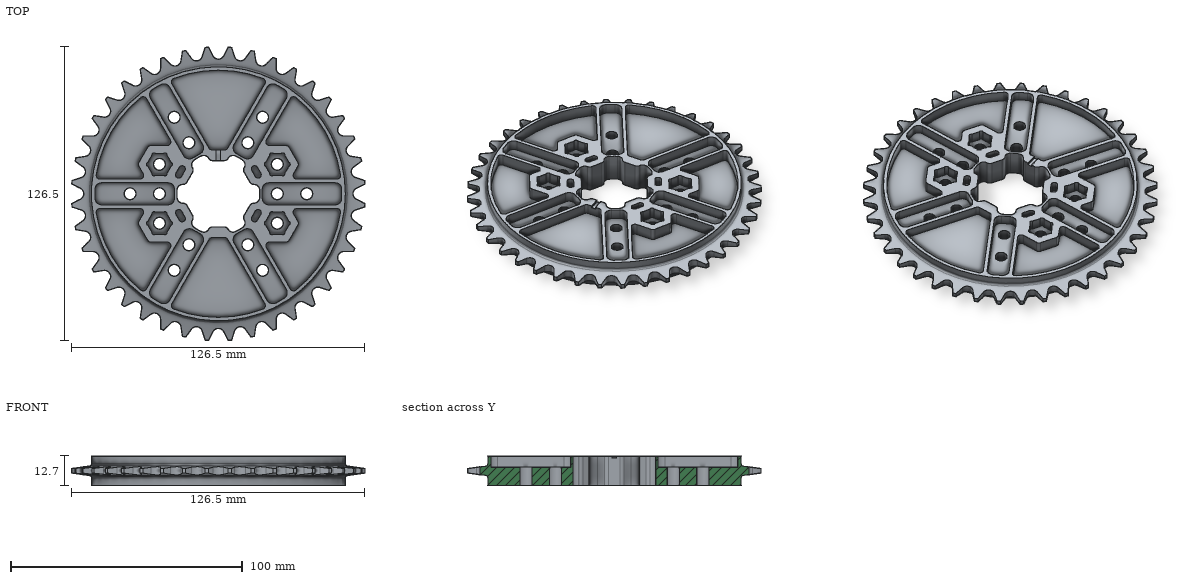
import cadquery as cq
import math

tooth_count = 40
chain_pitch = 9.525
seat_radius = 2.6
tip_radius = 63.41
tip_half_width = 0.75
tip_thickness = 2.0
tooth_taper_angle = math.radians(8)
flank_overrun = 1.2

tooth_angle = 2 * math.pi / tooth_count
pitch_radius = chain_pitch / (2 * math.sin(tooth_angle / 2))

body_thickness = 12.7
body_radius = 54.75
shoulder_fillet = 1.0
half_thickness = body_thickness / 2
rim_inner_radius = 53.3
spoke_count = 6
spoke_angle = 360 / spoke_count

end_pocket_depth = 4.76
side_pocket_depth = 5.5
pocket_corner_radius = 1.6
spoke_slot_depth = 4.76
spoke_slot_width = 9.525
spoke_slot_start = 18.9
spoke_slot_end = 53.2
spoke_slot_corner_radius = 2.9
spoke_half_width = 6.35
hub_flat_distance = 18.9

hole_spacing = 12.7
hole_diameter = 5.0
spoke_hole_radii = (2 * hole_spacing, 3 * hole_spacing)
nut_x = 2 * hole_spacing
nut_y = hole_spacing
nut_flats = 9.525
nut_relief_radius = 0.9
nut_relief_offset = 4.7
nut_depth = 5.08
boss_half_flats = 8.1

bore_apothem = 14.24
lobe_radius = 17.85
lobe_half_width = 4.0
lobe_corner_radius = 2.4
lobe_entry_radius = 2.0

oblong_radius = 18.9
oblong_length = 5.7
oblong_width = 2.8
oblong_depth = 5.08
oblong_angles = (30, 150, 210, 330)
groove_width = 1.9
groove_depth = 0.9

SQRT3 = math.sqrt(3)
match_tolerance = 0.01


def polar(radius, angle):
    """Point at a radius and an angle in radians."""
    return (radius * math.cos(angle), radius * math.sin(angle))


def upper_face_plane(depth):
    """Workplane at the given depth below the upper face."""
    return cq.Workplane("XY").workplane(offset=half_thickness - depth)


def make_blank():
    """Revolve the body together with its tapered tooth flange."""
    slope = math.tan(tooth_taper_angle)
    fillet_x = body_radius + shoulder_fillet
    flange_z = tip_thickness / 2 + (tip_radius - fillet_x) * slope
    fillet_z = flange_z + shoulder_fillet / math.cos(tooth_taper_angle)
    taper_normal = math.pi / 2 - tooth_taper_angle
    flange_end = math.pi + taper_normal
    middle = (math.pi + flange_end) / 2

    def fillet_point(angle, side):
        dx, dz = polar(shoulder_fillet, angle)
        return (fillet_x + dx, side * (fillet_z + dz))

    return (
        cq.Workplane("XZ")
        .moveTo(0, -half_thickness)
        .lineTo(body_radius, -half_thickness)
        .lineTo(body_radius, -fillet_z)
        .threePointArc(fillet_point(middle, -1), fillet_point(flange_end, -1))
        .lineTo(tip_radius, -tip_thickness / 2)
        .lineTo(tip_radius, tip_thickness / 2)
        .lineTo(*fillet_point(flange_end, 1))
        .threePointArc(fillet_point(middle, 1), (body_radius, fillet_z))
        .lineTo(body_radius, half_thickness)
        .lineTo(0, half_thickness)
        .close()
        .revolve(360, (0, 0, 0), (0, 1, 0))
    )


def make_tooth_gaps():
    """Roller seats with straight flanks tangent to them, between all teeth."""
    corner_angle = tooth_angle / 2 - tip_half_width / tip_radius
    corner_y = tip_radius * math.sin(corner_angle)
    corner_x = tip_radius * math.cos(corner_angle) - pitch_radius
    corner_distance = math.hypot(corner_x, corner_y)
    corner_direction = math.atan2(corner_y, corner_x)
    tangent_direction = corner_direction + math.acos(seat_radius / corner_distance)
    dx, dy = polar(seat_radius, tangent_direction)
    end_x = dx + flank_overrun * (corner_x - dx)
    end_y = dy + flank_overrun * (corner_y - dy)
    gap = (
        cq.Workplane("XY")
        .workplane(offset=-half_thickness)
        .moveTo(pitch_radius + end_x, -end_y)
        .lineTo(pitch_radius + dx, -dy)
        .threePointArc((pitch_radius - seat_radius, 0), (pitch_radius + dx, dy))
        .lineTo(pitch_radius + end_x, end_y)
        .close()
        .extrude(body_thickness)
    )
    gaps = cq.Workplane("XY")
    for index in range(tooth_count):
        gaps.add(gap.rotate((0, 0, 0), (0, 0, 1), index * 360 / tooth_count))
    return gaps.combine()


def make_bore():
    """Hexagonal through bore with a rounded lobe at each hexagon corner."""
    base = cq.Workplane("XY").workplane(offset=-half_thickness)
    bore = base.polygon(6, 2 * bore_apothem * 2 / SQRT3).extrude(body_thickness)
    disc = base.circle(lobe_radius).extrude(body_thickness)
    for index in range(spoke_count // 2):
        bar = base.rect(3 * lobe_radius, 2 * lobe_half_width).extrude(body_thickness)
        bar = bar.intersect(disc).edges("|Z").fillet(lobe_corner_radius)
        bore = bore.union(bar.rotate((0, 0, 0), (0, 0, 1), index * spoke_angle))
    entry_x = (bore_apothem - lobe_half_width / 2) * 2 / SQRT3
    entry_distance = math.hypot(entry_x, lobe_half_width)
    entry_edges = bore.edges("|Z").filter(
        lambda edge: math.hypot(edge.Center().x, edge.Center().y) < entry_distance + match_tolerance
    )
    return entry_edges.fillet(lobe_entry_radius)


def spoke_wall_x(y):
    """X at height y on the outer wall, towards +X, of the spoke at 60 degrees."""
    return (y / 2 + spoke_half_width) * 2 / SQRT3


def make_end_pocket():
    """Pocket between the two spokes on either side of the +Y axis."""
    inner_x = (hub_flat_distance / 2 - spoke_half_width) * 2 / SQRT3
    rim_angle = math.radians(spoke_angle) + math.asin(spoke_half_width / rim_inner_radius)
    rim_x, rim_y = polar(rim_inner_radius, rim_angle)
    return (
        upper_face_plane(end_pocket_depth)
        .moveTo(-inner_x, hub_flat_distance)
        .lineTo(inner_x, hub_flat_distance)
        .lineTo(rim_x, rim_y)
        .threePointArc((0, rim_inner_radius), (-rim_x, rim_y))
        .close()
        .extrude(end_pocket_depth)
        .edges("|Z")
        .fillet(pocket_corner_radius)
    )


def make_side_pocket():
    """Pocket between the spokes at 0 and 60 degrees, stepped around the nut boss."""
    wall_angle = math.asin(spoke_half_width / rim_inner_radius)
    low_rim = polar(rim_inner_radius, wall_angle)
    high_rim = polar(rim_inner_radius, math.radians(spoke_angle) - wall_angle)
    middle_rim = polar(rim_inner_radius, math.radians(spoke_angle / 2))
    boss_corner = boss_half_flats * 2 / SQRT3
    boss_top = nut_y + boss_half_flats
    boss_tip_x = nut_x + boss_corner
    notch_x = boss_tip_x - (nut_y - spoke_half_width) / SQRT3
    pocket = (
        upper_face_plane(side_pocket_depth)
        .moveTo(notch_x, spoke_half_width)
        .lineTo(*low_rim)
        .threePointArc(middle_rim, high_rim)
        .lineTo(spoke_wall_x(boss_top), boss_top)
        .lineTo(nut_x + boss_corner / 2, boss_top)
        .lineTo(boss_tip_x, nut_y)
        .close()
        .extrude(side_pocket_depth)
    )
    return pocket.edges("|Z").fillet(pocket_corner_radius)


def cut_pockets(part):
    end_pocket = make_end_pocket()
    part = part.cut(end_pocket).cut(end_pocket.mirror("XZ"))
    side_pocket = make_side_pocket()
    opposite_pocket = side_pocket.mirror("YZ")
    for pocket in (side_pocket, opposite_pocket):
        part = part.cut(pocket).cut(pocket.mirror("XZ"))
    return part


def cut_spokes(part):
    """Recess each spoke and drill its two screw holes."""
    slot_length = spoke_slot_end - spoke_slot_start
    slot = (
        upper_face_plane(spoke_slot_depth)
        .center((spoke_slot_start + spoke_slot_end) / 2, 0)
        .rect(slot_length, spoke_slot_width)
        .extrude(spoke_slot_depth)
        .edges("|Z")
        .fillet(spoke_slot_corner_radius)
    )
    holes = (
        cq.Workplane("XY")
        .workplane(offset=-half_thickness)
        .pushPoints([(radius, 0) for radius in spoke_hole_radii])
        .circle(hole_diameter / 2)
        .extrude(body_thickness)
    )
    spoke_cut = slot.union(holes)
    for index in range(spoke_count):
        part = part.cut(spoke_cut.rotate((0, 0, 0), (0, 0, 1), index * spoke_angle))
    return part


def cut_nut_traps(part):
    """Cut the hexagonal nut recesses, with round corner reliefs, and their through holes."""
    places = [(sx * nut_x, sy * nut_y) for sx in (-1, 1) for sy in (-1, 1)]
    traps = (
        upper_face_plane(nut_depth)
        .pushPoints(places)
        .polygon(6, nut_flats * 2 / SQRT3)
        .extrude(nut_depth)
    )
    for place in places:
        reliefs = (
            upper_face_plane(nut_depth)
            .center(*place)
            .polarArray(nut_relief_offset, 0, 360, 6)
            .circle(nut_relief_radius)
            .extrude(nut_depth)
        )
        traps = traps.union(reliefs)
    holes = (
        cq.Workplane("XY")
        .workplane(offset=-half_thickness)
        .pushPoints(places)
        .circle(hole_diameter / 2)
        .extrude(body_thickness)
    )
    return part.cut(traps).cut(holes)


def cut_oblong_slots(part):
    """Cut the blind slots lying tangentially around the bore."""
    slot = (
        upper_face_plane(oblong_depth)
        .center(oblong_radius, 0)
        .slot2D(oblong_length, oblong_width, 90)
        .extrude(oblong_depth)
    )
    for angle in oblong_angles:
        part = part.cut(slot.rotate((0, 0, 0), (0, 0, 1), angle))
    return part


def cut_index_groove(part):
    """Flat groove across the hub, from the bore to the +Y pocket."""
    groove = (
        upper_face_plane(groove_depth)
        .center(0, hub_flat_distance / 2)
        .rect(groove_width, hub_flat_distance)
        .extrude(groove_depth)
    )
    return part.cut(groove)


result = make_blank().cut(make_tooth_gaps()).cut(make_bore())
result = cut_pockets(result)
result = cut_spokes(result)
result = cut_nut_traps(result)
result = cut_oblong_slots(result)
result = cut_index_groove(result)